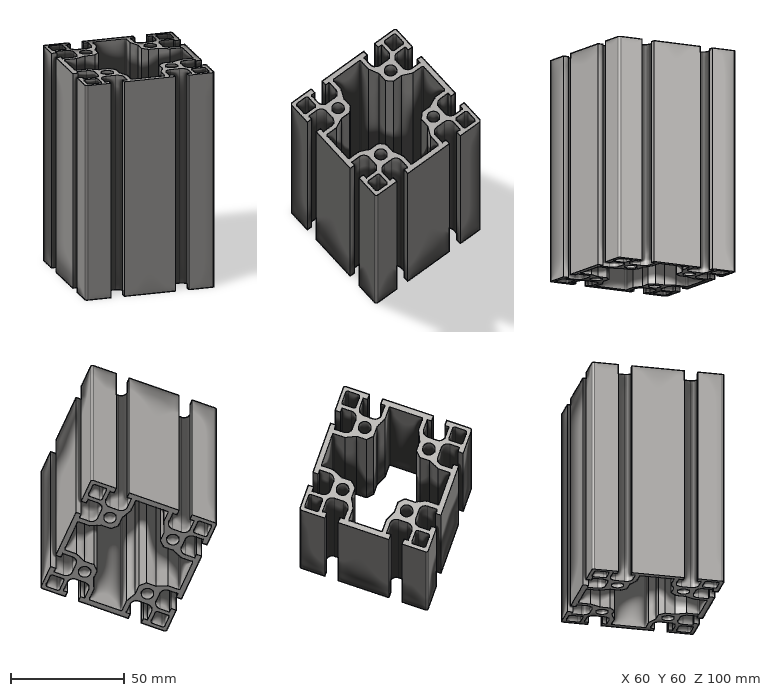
import cadquery as cq

side = 60.0
length = 100.0
corner_radius = 1.0
half_side = side / 2

slot_pitch = 30.0
mouth_width = 6.2
lip_thickness = 2.5
slot_width = 10.2
slot_depth = 10.0
slot_floor_radius = 3.0

core_hole_diameter = 5.5
core_width = 10.0
core_chamfer = 2.5

post_wall = 1.7
post_hollow_radius = 1.0

cavity_corner_radius = 0.5
slot_wall = 2.1
wall_straight_end = 8.2
core_straight_start = 12.9

core_offset = slot_pitch / 2
core_centers = [(x, y) for x in (-core_offset, core_offset) for y in (-core_offset, core_offset)]


def make_block():
    """Solid square bar with rounded long edges."""
    block = cq.Workplane("XY").rect(side, side).extrude(length)
    return block.edges("|Z").fillet(corner_radius)


def make_slot(center_x):
    """T-slot opening on the +Y face, with rounded floor corners."""
    channel_height = slot_depth - lip_thickness
    channel_y = half_side - lip_thickness - channel_height / 2
    channel = (
        cq.Workplane("XY")
        .center(center_x, channel_y)
        .rect(slot_width, channel_height)
        .extrude(length)
        .edges("|Z and <Y")
        .fillet(slot_floor_radius)
    )
    mouth_y = half_side - lip_thickness / 2
    mouth = cq.Workplane("XY").center(center_x, mouth_y).rect(mouth_width, lip_thickness).extrude(length)
    return channel.union(mouth)


def make_post_hollow(x_sign, y_sign):
    """Rounded square hollow inside one corner post."""
    post_size = half_side - core_offset - slot_width / 2
    hollow_size = post_size - 2 * post_wall
    center = half_side - post_size / 2
    return (
        cq.Workplane("XY")
        .center(x_sign * center, y_sign * center)
        .rect(hollow_size, hollow_size)
        .extrude(length)
        .edges("|Z")
        .fillet(post_hollow_radius)
    )


def make_cavity():
    """Cross-shaped central cavity, outlined one corner at a time."""
    outer = half_side - lip_thickness
    core_side = core_offset - core_width / 2
    wall_side = core_offset - slot_width / 2 - slot_wall
    wall_end = half_side - wall_straight_end
    core_start = half_side - core_straight_start
    corner = [
        (outer, wall_side),
        (wall_end, wall_side),
        (core_start, core_side),
        (core_side + core_chamfer, core_side),
    ]
    corner += [(y, x) for x, y in reversed(corner)]
    outline = []
    for _ in range(4):
        outline += corner
        corner = [(-y, x) for x, y in corner]
    cavity = cq.Workplane("XY").polyline(outline).close().extrude(length)
    wall_ends = cavity.faces("<X or >X or <Y or >Y").edges("|Z")
    return wall_ends.fillet(cavity_corner_radius)


result = make_block().cut(make_cavity())

for face_angle in (0, 90, 180, 270):
    for slot_x in (-core_offset, core_offset):
        slot = make_slot(slot_x).rotate((0, 0, 0), (0, 0, 1), face_angle)
        result = result.cut(slot)

for x_sign in (-1, 1):
    for y_sign in (-1, 1):
        result = result.cut(make_post_hollow(x_sign, y_sign))

core_holes = cq.Workplane("XY").pushPoints(core_centers).circle(core_hole_diameter / 2).extrude(length)
result = result.cut(core_holes)